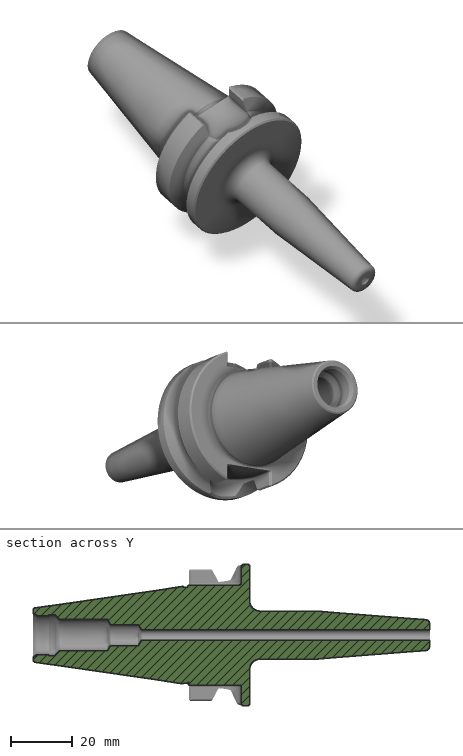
import cadquery as cq
import math


taper_length = 48.41
gauge_diameter = 31.75
taper_ratio = 7 / 24
shank_end_chamfer = 0.4
relief_diameter = 31.24
relief_start = 0.3
relief_fillet_radius = 0.8

flange_diameter = 46.0
flange_back = 2.0
flange_front = 21.75
flange_edge_chamfer = 0.5
groove_center = 13.55
groove_bottom_width = 3.9
groove_bottom_diameter = 38.0
groove_half_angle = 30.0

neck_diameter = 15.75
neck_fillet_radius = 3.25
cone_start = 43.4
cone_half_angle = 4.5
nose_end = 80.0
nose_fillet_radius = 1.5

slot_width = 16.1
slot_floor_height = 16.3
slot_end = 18.9
slot_floor_fillet = 0.5
slot_edge_chamfer = 0.65

mouth_diameter = 14.0
mouth_depth = 1.3
bore_diameter = 12.5
bore_depth = 5.2
undercut_diameter = 13.12
undercut_end = 7.0
undercut_half_angle = 45.0
thread_diameter = 10.0
thread_depth = 24.0
pilot_diameter = 6.7
pilot_depth = 34.0
coolant_diameter = 3.16
drill_half_angle = 59.0

shank_end = -taper_length
flange_radius = flange_diameter / 2


def make_body():
    """Turned outside of the holder."""
    shank_end_radius = (gauge_diameter - taper_ratio * taper_length) / 2
    chamfer_radius = shank_end_radius + shank_end_chamfer * taper_ratio / 2
    relief_radius = relief_diameter / 2
    groove_radius = groove_bottom_diameter / 2
    groove_bottom_half = groove_bottom_width / 2
    groove_flank = (flange_radius - groove_radius) * math.tan(math.radians(groove_half_angle))
    groove_top_half = groove_bottom_half + groove_flank
    neck_radius = neck_diameter / 2
    cone_slope = math.tan(math.radians(cone_half_angle))
    nose_radius = neck_radius - (nose_end - cone_start) * cone_slope
    arc_inset = 1 - math.sqrt(0.5)
    relief_fillet_mid = relief_fillet_radius * arc_inset
    neck_fillet_mid = neck_fillet_radius * arc_inset

    profile = (
        cq.Workplane("XY")
        .moveTo(shank_end, 0)
        .lineTo(shank_end, shank_end_radius - shank_end_chamfer)
        .lineTo(shank_end + shank_end_chamfer, chamfer_radius)
        .lineTo(0, gauge_diameter / 2)
        .lineTo(relief_start, relief_radius)
        .lineTo(flange_back - relief_fillet_radius, relief_radius)
        .threePointArc(
            (flange_back - relief_fillet_mid, relief_radius + relief_fillet_mid),
            (flange_back, relief_radius + relief_fillet_radius),
        )
        .lineTo(flange_back, flange_radius - flange_edge_chamfer)
        .lineTo(flange_back + flange_edge_chamfer, flange_radius)
        .lineTo(groove_center - groove_top_half, flange_radius)
        .lineTo(groove_center - groove_bottom_half, groove_radius)
        .lineTo(groove_center + groove_bottom_half, groove_radius)
        .lineTo(groove_center + groove_top_half, flange_radius)
        .lineTo(flange_front - flange_edge_chamfer, flange_radius)
        .lineTo(flange_front, flange_radius - flange_edge_chamfer)
        .lineTo(flange_front, neck_radius + neck_fillet_radius)
        .threePointArc(
            (flange_front + neck_fillet_mid, neck_radius + neck_fillet_mid),
            (flange_front + neck_fillet_radius, neck_radius),
        )
        .lineTo(cone_start, neck_radius)
        .lineTo(nose_end, nose_radius)
        .lineTo(nose_end, 0)
        .close()
    )
    body = profile.revolve(360, (0, 0, 0), (1, 0, 0))
    return body.faces(">X").edges().fillet(nose_fillet_radius)


def make_bore_cutter():
    """Cutter for the stepped bore: undercut, drill-point cones and through coolant hole."""
    drill_slope = math.tan(math.radians(drill_half_angle))
    undercut_slope = math.tan(math.radians(undercut_half_angle))
    mouth_radius = mouth_diameter / 2
    bore_radius = bore_diameter / 2
    undercut_radius = undercut_diameter / 2
    thread_radius = thread_diameter / 2
    pilot_radius = pilot_diameter / 2
    coolant_radius = coolant_diameter / 2
    undercut_bottom = shank_end + undercut_end
    thread_bottom = shank_end + thread_depth
    pilot_bottom = shank_end + pilot_depth

    profile = (
        cq.Workplane("XY")
        .moveTo(shank_end, 0)
        .lineTo(shank_end, mouth_radius)
        .lineTo(shank_end + mouth_depth, bore_radius)
        .lineTo(shank_end + bore_depth, bore_radius)
        .lineTo(shank_end + bore_depth, undercut_radius)
        .lineTo(undercut_bottom, undercut_radius)
        .lineTo(undercut_bottom + (undercut_radius - thread_radius) / undercut_slope, thread_radius)
        .lineTo(thread_bottom, thread_radius)
        .lineTo(thread_bottom + (thread_radius - pilot_radius) / drill_slope, pilot_radius)
        .lineTo(pilot_bottom, pilot_radius)
        .lineTo(pilot_bottom + (pilot_radius - coolant_radius) / drill_slope, coolant_radius)
        .lineTo(nose_end, coolant_radius)
        .lineTo(nose_end, 0)
        .close()
    )
    return profile.revolve(360, (0, 0, 0), (1, 0, 0))


def make_slot_cutter():
    """Cutter for the upper driving slot: round end, filleted floor, chamfered mouth."""
    overrun = 1.0
    half_width = slot_width / 2
    arc_center = slot_end - half_width
    slot_height = flange_radius - slot_floor_height
    channel = (
        cq.Workplane("XY", origin=(0, 0, slot_floor_height))
        .moveTo(flange_back - overrun, -half_width)
        .lineTo(arc_center, -half_width)
        .threePointArc((slot_end, 0), (arc_center, half_width))
        .lineTo(flange_back - overrun, half_width)
        .close()
        .extrude(slot_height)
        .faces("<Z")
        .edges("not <X")
        .fillet(slot_floor_fillet)
    )
    chamfered_half = half_width + slot_edge_chamfer
    mouth = (
        cq.Workplane("XY", origin=(0, 0, slot_floor_height))
        .polyline(
            [
                (flange_back, -chamfered_half),
                (flange_back + slot_edge_chamfer, -half_width),
                (flange_back + slot_edge_chamfer, half_width),
                (flange_back, chamfered_half),
            ]
        )
        .close()
        .extrude(slot_height)
    )
    return channel.union(mouth)


def chamfer_slot_rims(holder):
    """Chamfer the slot edges that lie on the flange's outer cylinder."""
    half_width = slot_width / 2
    rim_tolerance = 0.01

    def is_rim(edge):
        middle = edge.positionAt(0.5)
        on_cylinder = abs(math.hypot(middle.y, middle.z) - flange_radius) < rim_tolerance
        return on_cylinder and abs(middle.y) < half_width + rim_tolerance

    rims = [edge for edge in holder.edges().vals() if is_rim(edge)]
    return holder.newObject(rims).chamfer(slot_edge_chamfer)


upper_slot = make_slot_cutter()
lower_slot = upper_slot.rotate((0, 0, 0), (1, 0, 0), 180)
slotted_body = make_body().cut(upper_slot).cut(lower_slot)
result = chamfer_slot_rims(slotted_body).cut(make_bore_cutter())